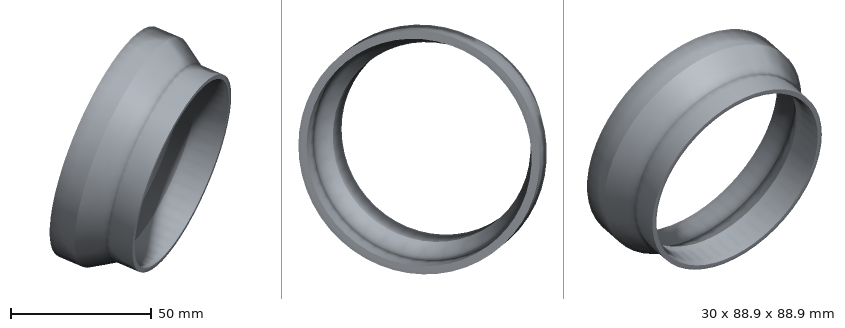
import cadquery as cq

large_diameter = 88.9
small_diameter = 76.45
large_bore = 82.85
small_bore = 72.8
length = 30.0
section_length = length / 3

cone_start = section_length
outer_cone_end = 2 * section_length
bore_cone_end = 17.6


def stepped_solid(wide_diameter, narrow_diameter, cone_end):
    """Wide cylinder, cone and narrow cylinder in a row, revolved about X."""
    wide_radius = wide_diameter / 2
    narrow_radius = narrow_diameter / 2
    profile = cq.Workplane("XY").polyline([
        (0, 0),
        (0, wide_radius),
        (cone_start, wide_radius),
        (cone_end, narrow_radius),
        (length, narrow_radius),
        (length, 0),
    ]).close()
    return profile.revolve(360, (0, 0, 0), (1, 0, 0))


outer_body = stepped_solid(large_diameter, small_diameter, outer_cone_end)
bore = stepped_solid(large_bore, small_bore, bore_cone_end)
result = outer_body.cut(bore)